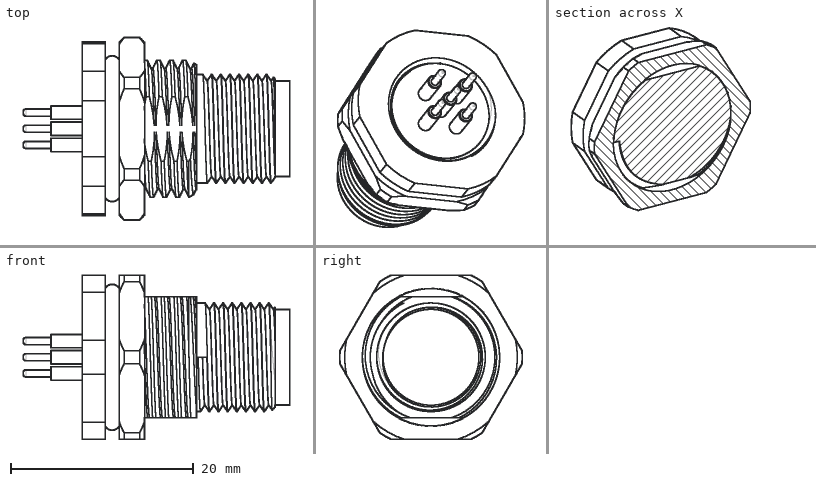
import cadquery as cq
import math


across_flats = 18.0
flange_thickness = 2.55
flange_corner_radius = 9.5
nut_thickness = 2.8
nut_corner_radius = 10.0
nut_chamfer = 0.55

seal_gap = 1.5
ring_section_radius = 0.9
ring_outer_radius = 8.0
ring_center_radius = ring_outer_radius - ring_section_radius
seat_radius = ring_center_radius - ring_section_radius

mount_length = 8.5
mount_crest_radius = 7.52
mount_root_radius = 6.65
mount_pitch = 1.41
mount_chamfer_length = 0.85
mount_chamfer_depth = 0.52
mount_crest_width = 0.35
mount_root_width = 0.2
mount_flat_height = 6.64
mount_groove_offset = 0.1

mating_length = 8.6
mating_crest_radius = 5.95
mating_root_radius = 5.26
mating_pitch = 1.0
mating_chamfer = 0.5
mating_crest_width = 0.05
mating_root_width = 0.02
mating_groove_offset = 0.64
neck_radius = 5.25
neck_length = 1.6

opening_radius = 6.05
opening_depth = 0.4
carrier_radius = 5.55
carrier_end = flange_thickness
opening_pitch = 1.0
opening_crest_radius = 5.5
opening_root_radius = 6.17
opening_crest_width = 0.2
opening_root_width = 0.03
opening_groove_turns = 1.75

contact_circle_radius = 2.5
contact_body_radius = 0.75
contact_body_length = 3.45
contact_body_chamfer = 0.08
tail_radius = 0.4
tail_tip_fillet = 0.3
tail_length = 3.0

nut_rear = flange_thickness + seal_gap
nut_front = nut_rear + nut_thickness
shoulder = nut_rear + mount_length
mating_end = shoulder + mating_length
front_end = mating_end + neck_length

groove_overshoot = 0.02
bevel_stand_off = 1.0


def cylinder(radius, start, end):
    return cq.Workplane(cq.Plane((start, 0, 0), (0, 0, 1), (1, 0, 0))).circle(radius).extrude(end - start)


def hexagon(start, end):
    """Hexagonal prism along X with flats facing +Z and -Z."""
    across_corners = across_flats / math.cos(math.pi / 6)
    return cq.Workplane("YZ", origin=(start, 0, 0)).polygon(6, across_corners).extrude(end - start)


def helical_groove(start, length, pitch, crest_radius, root_radius, crest_width, root_width):
    """Right-handed V groove cutter that starts on the -Y side and advances along +X.

    The root lies inside the crest for an outer thread and outside it for an inner thread.
    """
    half_root = root_width / 2
    flank_slope = ((pitch - crest_width) / 2 - half_root) / (crest_radius - root_radius)
    mouth_radius = crest_radius + math.copysign(groove_overshoot, crest_radius - root_radius)
    half_mouth = half_root + flank_slope * (mouth_radius - root_radius)
    section = [
        (root_radius, -half_root),
        (mouth_radius, -half_mouth),
        (mouth_radius, half_mouth),
        (root_radius, half_root),
    ]

    edges = []
    for radius, shift in section:
        helix = cq.Wire.makeHelix(pitch, length, radius)
        edges.append(helix.translate(cq.Vector(0, 0, shift)))
    faces = []
    for index, edge in enumerate(edges):
        faces.append(cq.Face.makeRuledSurface(edges[index - 1], edge))

    end_angle = 2 * math.pi * length / pitch
    for angle, rise in ((0, 0), (end_angle, length)):
        corners = []
        for radius, shift in section:
            corners.append(cq.Vector(radius * math.cos(angle), radius * math.sin(angle), rise + shift))
        faces.append(cq.Face.makeFromWires(cq.Wire.makePolygon(corners, close=True)))

    cutter = cq.Solid.makeSolid(cq.Shell.makeShell(faces))
    along_x = cq.Plane(origin=(start, 0, 0), xDir=(0, -1, 0), normal=(1, 0, 0))
    return cq.Workplane(obj=cutter.moved(cq.Location(along_x)))


def end_chamfer(end, radius, length, depth):
    """Ring cutter that bevels the front end of a thread."""
    slope = depth / length
    return (
        cq.Workplane("XY")
        .moveTo(end - length - bevel_stand_off / slope, radius + bevel_stand_off)
        .lineTo(end, radius - depth)
        .lineTo(end, radius + bevel_stand_off)
        .close()
        .revolve(360, (0, 0, 0), (1, 0, 0))
    )


def make_mount_rod():
    """Threaded rod with its top and bottom flatted; the groove begins inside the nut."""
    rod = cylinder(mount_crest_radius, nut_rear, shoulder)
    turns = math.ceil((shoulder - nut_front) / mount_pitch) + 1
    groove = helical_groove(
        nut_front + mount_groove_offset - mount_pitch,
        turns * mount_pitch,
        mount_pitch,
        mount_crest_radius,
        mount_root_radius,
        mount_crest_width,
        mount_root_width,
    )
    flats = cq.Workplane("XY", origin=((nut_rear + shoulder) / 2, 0, 0)).box(
        mount_length, 2 * mount_crest_radius, 2 * mount_flat_height
    )
    bevel = end_chamfer(shoulder, mount_crest_radius, mount_chamfer_length, mount_chamfer_depth)
    return rod.cut(groove).intersect(flats).cut(bevel)


def make_opening_groove():
    """Inner thread between the rear face and the carrier, with a groove centre at X = 0 on the -Y side."""
    return helical_groove(
        -opening_pitch,
        opening_groove_turns * opening_pitch,
        opening_pitch,
        opening_crest_radius,
        opening_root_radius,
        opening_crest_width,
        opening_root_width,
    )


def make_mating_groove():
    """Groove of the mating thread, from the collar next to the shoulder to above the neck."""
    return helical_groove(
        shoulder + mating_groove_offset,
        mating_length,
        mating_pitch,
        mating_crest_radius,
        mating_root_radius,
        mating_crest_width,
        mating_root_width,
    )


def make_housing():
    flange = hexagon(0, flange_thickness).intersect(
        cylinder(flange_corner_radius, 0, flange_thickness)
    )
    opening = (
        cq.Workplane("XY")
        .moveTo(0, 0)
        .lineTo(0, opening_radius)
        .lineTo(opening_depth, carrier_radius)
        .lineTo(carrier_end, carrier_radius)
        .lineTo(carrier_end, 0)
        .close()
        .revolve(360, (0, 0, 0), (1, 0, 0))
    )
    seat = cylinder(seat_radius, 0, nut_rear)
    mating_rod = cylinder(mating_crest_radius, shoulder, mating_end)
    neck = cylinder(neck_radius, mating_end, front_end)
    rear = flange.union(seat).cut(opening).cut(make_opening_groove()).union(make_mount_rod())
    bevel = end_chamfer(mating_end, mating_crest_radius, mating_chamfer, mating_chamfer)
    return rear.union(mating_rod).union(neck).cut(make_mating_groove()).cut(bevel)


def make_nut():
    rim_radius = nut_corner_radius - nut_chamfer
    envelope = (
        cq.Workplane("XY")
        .moveTo(nut_rear, 0)
        .lineTo(nut_rear, rim_radius)
        .lineTo(nut_rear + nut_chamfer, nut_corner_radius)
        .lineTo(nut_front - nut_chamfer, nut_corner_radius)
        .lineTo(nut_front, rim_radius)
        .lineTo(nut_front, 0)
        .close()
        .revolve(360, (0, 0, 0), (1, 0, 0))
    )
    bore = cylinder(mount_crest_radius, nut_rear, nut_front)
    return hexagon(nut_rear, nut_front).intersect(envelope).cut(bore)


def make_seal_ring():
    """O-ring whose round section is flattened where it presses on the flange and the nut."""
    half_gap = seal_gap / 2
    half_face = math.sqrt(ring_section_radius**2 - half_gap**2)
    middle = flange_thickness + half_gap
    return (
        cq.Workplane("XY")
        .moveTo(flange_thickness, ring_center_radius - half_face)
        .lineTo(flange_thickness, ring_center_radius + half_face)
        .threePointArc((middle, ring_outer_radius), (nut_rear, ring_center_radius + half_face))
        .lineTo(nut_rear, ring_center_radius - half_face)
        .threePointArc((middle, seat_radius), (flange_thickness, ring_center_radius - half_face))
        .close()
        .revolve(360, (0, 0, 0), (1, 0, 0))
    )


def make_carrier(positions):
    disc = cylinder(carrier_radius, opening_depth, carrier_end)
    for y, z in positions:
        disc = disc.cut(cylinder(contact_body_radius, opening_depth, carrier_end).translate((0, y, z)))
    return disc


def make_contact(y, z):
    body = cylinder(contact_body_radius, -contact_body_length, carrier_end)
    body = body.faces("<X").chamfer(contact_body_chamfer)
    tail = cylinder(tail_radius, -contact_body_length - tail_length, -contact_body_length)
    tail = tail.faces("<X").edges().fillet(tail_tip_fillet)
    return body.union(tail).translate((0, y, z))


contact_offset = contact_circle_radius / math.sqrt(2)
contact_positions = [(0, 0)]
for side_y in (-1, 1):
    for side_z in (-1, 1):
        contact_positions.append((side_y * contact_offset, side_z * contact_offset))

housing = make_housing()
nut = make_nut()
seal_ring = make_seal_ring()
carrier = make_carrier(contact_positions)
contacts = []
for contact_y, contact_z in contact_positions:
    contacts.append(make_contact(contact_y, contact_z).val())

result = cq.Compound.makeCompound(
    [housing.val(), nut.val(), seal_ring.val(), carrier.val(), *contacts]
)